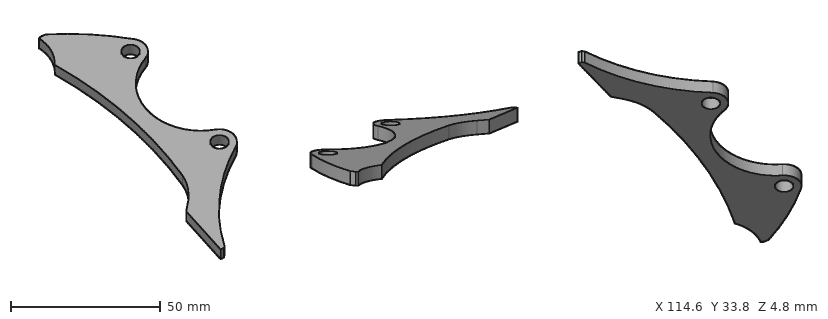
import cadquery as cq
import math

LENGTH = 114.6
THICKNESS = 4.8

HOLE_DIAMETER = 6.2
EAR_RADIUS = 5.8
LEFT_EAR = (21.8, 24.8)
RIGHT_EAR = (72.7, 28.0)

CUTOUT_RADIUS = 21.8

LEFT_EAR_EXIT_ANGLE = 142.0
RIGHT_EAR_EXIT_ANGLE = 38.0

LEFT_TIP_TOP = (0.0, 4.8)
LEFT_TIP_SIDE = (0.0, 2.8)
LEFT_TIP_BOTTOM = (0.5, 2.0)
SCALLOP_MIDDLE = (7.6, 2.4)
SCALLOP_END = (13.5, 0.0)
LEFT_EDGE_MIDDLE = (7.9, 17.4)

LOWER_EDGE_MIDDLE = (34.8, 6.2)
HOLLOW_START = (79.1, 9.3)
HOLLOW_MIDDLE = (84.9, 7.8)
HOLLOW_END = (90.1, 4.6)

FOOT_START = (93.6, 1.6)
RIGHT_TIP_BOTTOM = (LENGTH, 2.1)
RIGHT_TIP_SIDE = (LENGTH, 3.3)
RIGHT_TIP_TOP = (113.8, 4.1)
RIGHT_EDGE_MIDDLE = (92.0, 16.0)


def polar(center, radius, degrees):
    """Point at a distance and direction from a centre."""
    angle = math.radians(degrees)
    return (center[0] + radius * math.cos(angle), center[1] + radius * math.sin(angle))


def direction(start, end):
    """Direction from one point to another, in degrees."""
    return math.degrees(math.atan2(end[1] - start[1], end[0] - start[0]))


def cutout_center():
    """Centre above the ears whose circle touches both ears from outside."""
    middle = ((LEFT_EAR[0] + RIGHT_EAR[0]) / 2, (LEFT_EAR[1] + RIGHT_EAR[1]) / 2)
    half_spacing = math.dist(LEFT_EAR, RIGHT_EAR) / 2
    rise = math.sqrt((CUTOUT_RADIUS + EAR_RADIUS) ** 2 - half_spacing**2)
    return polar(middle, rise, direction(LEFT_EAR, RIGHT_EAR) + 90)


def plate():
    center = cutout_center()
    left_tangent_angle = direction(LEFT_EAR, center)
    right_tangent_angle = direction(RIGHT_EAR, center)
    left_ear_top_angle = (LEFT_EAR_EXIT_ANGLE + left_tangent_angle) / 2
    right_ear_top_angle = (RIGHT_EAR_EXIT_ANGLE + right_tangent_angle) / 2
    return (
        cq.Workplane("XY")
        .moveTo(*LEFT_TIP_TOP)
        .threePointArc(LEFT_EDGE_MIDDLE, polar(LEFT_EAR, EAR_RADIUS, LEFT_EAR_EXIT_ANGLE))
        .threePointArc(
            polar(LEFT_EAR, EAR_RADIUS, left_ear_top_angle),
            polar(LEFT_EAR, EAR_RADIUS, left_tangent_angle),
        )
        .threePointArc(
            polar(center, CUTOUT_RADIUS, -90),
            polar(RIGHT_EAR, EAR_RADIUS, right_tangent_angle),
        )
        .threePointArc(
            polar(RIGHT_EAR, EAR_RADIUS, right_ear_top_angle),
            polar(RIGHT_EAR, EAR_RADIUS, RIGHT_EAR_EXIT_ANGLE),
        )
        .threePointArc(RIGHT_EDGE_MIDDLE, RIGHT_TIP_TOP)
        .lineTo(*RIGHT_TIP_SIDE)
        .lineTo(*RIGHT_TIP_BOTTOM)
        .lineTo(*FOOT_START)
        .lineTo(*HOLLOW_END)
        .threePointArc(HOLLOW_MIDDLE, HOLLOW_START)
        .threePointArc(LOWER_EDGE_MIDDLE, SCALLOP_END)
        .threePointArc(SCALLOP_MIDDLE, LEFT_TIP_BOTTOM)
        .lineTo(*LEFT_TIP_SIDE)
        .close()
        .extrude(THICKNESS)
    )


def ear_holes():
    return (
        cq.Workplane("XY")
        .pushPoints([LEFT_EAR, RIGHT_EAR])
        .circle(HOLE_DIAMETER / 2)
        .extrude(THICKNESS)
    )


result = plate().cut(ear_holes())